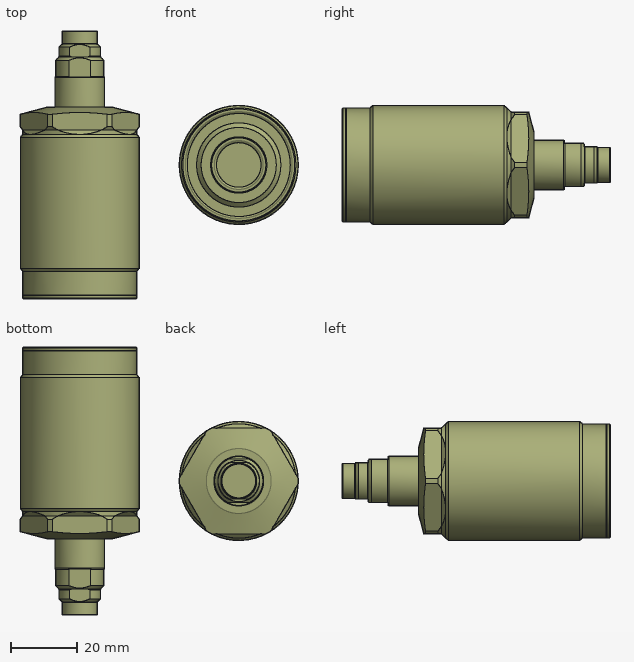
import cadquery as cq
import math


barrel_radius = 18.0
step_radius = 17.25
step_chamfer = barrel_radius - step_radius
step_chamfer_length = 0.9
housing_front_y = 1.05
housing_edge_chamfer = 0.25
barrel_front_y = 9.3
barrel_rear_y = 48.85
hex_front_y = 51.0
hex_front_chamfer = 1.05
hex_flat_distance = 15.95
hex_cone_rear_y = 58.0
hex_cone_rear_radius = 9.8
hex_cone_angle = 15.0

ring_inner_radius = 15.55
ring_edge_chamfer = 0.365
ring_lip_round = 0.6

plate_front_y = 1.3
plate_rear_y = 1.95
boss_base_radius = 12.7
boss_top_radius = 11.3

insert_outer_radius = 8.5
insert_bore_radius = 6.7
insert_edge_chamfer = 0.3
insert_lip_round = 0.65
membrane_front_y = 0.7

sleeve_radius = 7.5
sleeve_rear_y = 66.8
neck_radius = 7.3
neck_front_y = 67.2
neck_flat_front_y = 67.1
neck_flat_distance = 6.6
neck_rear_y = 73.15
neck_rear_chamfer = 1.05

nut_radius = 6.3
nut_flat_distance = 5.5
nut_rear_y = 76.95
nut_rear_chamfer = 0.9
bush_radius = 5.35
bush_rear_y = 81.0
edge_chamfer = 0.25


def turned(points):
    """Solid of revolution about Y from a closed outline of (radius, y) points."""
    return cq.Workplane("XY").polyline(points).close().revolve(360, (0, 0, 0), (0, 1, 0))


def turned_ring(outer, bore, front_y, rear_y, outer_chamfer, lip_round):
    """Flat ring with a chamfered outer front edge and a rounded front edge at the bore."""
    arc_offset = lip_round * (1 - math.sqrt(0.5))
    return (
        cq.Workplane("XY")
        .moveTo(bore, rear_y)
        .lineTo(outer, rear_y)
        .lineTo(outer, front_y + outer_chamfer)
        .lineTo(outer - outer_chamfer, front_y)
        .lineTo(bore + lip_round, front_y)
        .threePointArc((bore + arc_offset, front_y + arc_offset), (bore, front_y + lip_round))
        .close()
        .revolve(360, (0, 0, 0), (0, 1, 0))
    )


def round_bar(radius, front_y, rear_y):
    """Plain cylinder along Y."""
    return turned([(0, front_y), (radius, front_y), (radius, rear_y), (0, rear_y)])


def hex_flat_cutter():
    """Block that mills one hexagon flat on the +Z side and runs out forward at 45 degrees."""
    reach = 2 * (barrel_radius - hex_flat_distance)
    outline = [
        (hex_front_y, hex_flat_distance),
        (hex_front_y - reach, hex_flat_distance + reach),
        (hex_cone_rear_y, hex_flat_distance + reach),
        (hex_cone_rear_y, hex_flat_distance),
    ]
    return cq.Workplane("YZ").polyline(outline).close().extrude(barrel_radius, both=True)


def make_housing():
    cone_length = (barrel_radius - hex_cone_rear_radius) * math.tan(math.radians(hex_cone_angle))
    body = turned([
        (0, housing_front_y),
        (step_radius - housing_edge_chamfer, housing_front_y),
        (step_radius, housing_front_y + housing_edge_chamfer),
        (step_radius, barrel_front_y - step_chamfer_length),
        (barrel_radius, barrel_front_y),
        (barrel_radius, barrel_rear_y),
        (step_radius, barrel_rear_y + step_chamfer_length),
        (step_radius, hex_front_y),
        (barrel_radius, hex_front_y + hex_front_chamfer),
        (barrel_radius, hex_cone_rear_y - cone_length),
        (hex_cone_rear_radius, hex_cone_rear_y),
        (0, hex_cone_rear_y),
    ])
    for side in range(6):
        body = body.cut(hex_flat_cutter().rotate((0, 0, 0), (0, 1, 0), 60 * side))
    plate_pocket = round_bar(ring_inner_radius, housing_front_y, plate_rear_y)
    return body.cut(plate_pocket)


def make_clamping_ring():
    return turned_ring(
        step_radius, ring_inner_radius, 0, housing_front_y, ring_edge_chamfer, ring_lip_round
    )


def make_face_plate():
    return turned([
        (insert_outer_radius, 0),
        (boss_top_radius, 0),
        (boss_base_radius, plate_front_y),
        (ring_inner_radius, plate_front_y),
        (ring_inner_radius, plate_rear_y),
        (insert_outer_radius, plate_rear_y),
    ])


def make_insert_ring():
    return turned_ring(
        insert_outer_radius, insert_bore_radius, 0, plate_rear_y, insert_edge_chamfer, insert_lip_round
    )


def make_membrane():
    return round_bar(insert_bore_radius, membrane_front_y, plate_rear_y)


def cut_flat_pair(body, flat_distance, front_y, rear_y):
    """Cut two wrench flats, facing +Z and -Z, between front_y and rear_y."""
    length = rear_y - front_y
    depth = sleeve_radius
    for side in (1, -1):
        block = cq.Workplane("XY").box(2 * sleeve_radius, length, depth)
        block_center = (0, front_y + length / 2, side * (flat_distance + depth / 2))
        body = body.cut(block.translate(block_center))
    return body


def make_gland_body():
    body = turned([
        (0, hex_cone_rear_y),
        (sleeve_radius, hex_cone_rear_y),
        (sleeve_radius, sleeve_rear_y),
        (neck_radius, neck_front_y),
        (neck_radius, neck_rear_y - neck_rear_chamfer),
        (neck_radius - neck_rear_chamfer, neck_rear_y),
        (0, neck_rear_y),
    ])
    return cut_flat_pair(body, neck_flat_distance, neck_flat_front_y, neck_rear_y)


def make_gland_nut():
    nut = round_bar(nut_radius, neck_rear_y, nut_rear_y)
    nut = nut.faces("<Y").edges().chamfer(edge_chamfer)
    nut = nut.faces(">Y").edges().chamfer(nut_rear_chamfer)
    return cut_flat_pair(nut, nut_flat_distance, neck_rear_y, nut_rear_y)


def make_end_bush():
    bush = round_bar(bush_radius, nut_rear_y, bush_rear_y)
    return bush.faces("<Y or >Y").edges().chamfer(edge_chamfer)


housing = make_housing()
clamping_ring = make_clamping_ring()
face_plate = make_face_plate()
insert_ring = make_insert_ring()
membrane = make_membrane()
gland_body = make_gland_body()
gland_nut = make_gland_nut()
end_bush = make_end_bush()

bodies = [housing, clamping_ring, face_plate, insert_ring, membrane, gland_body, gland_nut, end_bush]
result = cq.Compound.makeCompound([body.val() for body in bodies])